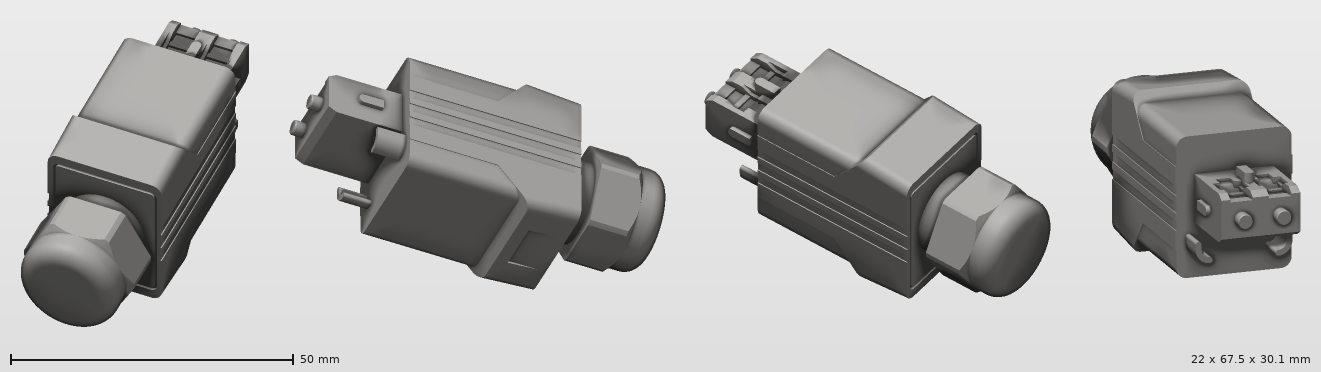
import cadquery as cq
import math


housing_length = 33.2
housing_width = 22.0
core_width = 21.75
core_height = 26.3
corner_radius = 2.0
flare_end_height = 28.35
flare_peak_height = 30.05
flare_peak_y = 9.8
side_panel_height = 15.4
side_panel_y = 16.15
grip_depth = 0.2
grip_width = 1.8
grip_pitch = 3.25

seam_width = 20.1
seam_height = 24.6
seam_gap = 0.505
seam_depth = 0.55
seam_radius = 1.3

label_width = 9.2
label_floor_z = -14.3
label_end_y = 7.4

neck_diameter = 15.4
neck_length = 4.0
nut_flats = 19.0
nut_rim_radius = 10.7
nut_length = 8.6
nut_chamfer_length = 1.15
dome_end_y = -17.95
dome_radius = 3.0

block_width = 14.85
block_length = 14.2
block_top = 6.0
block_bottom = -3.0
block_chamfer_y = 1.55
block_chamfer_z = 0.9
block_end_y = housing_length + block_length

key_width = 1.8
key_length = 4.7
key_start_y = 37.1
side_key_z = 1.5
side_key_height = 0.9
top_key_height = 1.9

contact_x = 3.65
pin_diameter = 2.8
pin_tip_diameter = 2.5
pin_z = 1.4
pin_length = 2.15
pin_tip_length = 0.3
channel_width = 4.25
throat_width = 2.8
high_floor_z = 4.65
low_floor_z = 4.1
throat_floor_z = 5.35
first_step_y = 45.25
bar_far_y = 42.95
bar_near_y = 41.95
ramp_foot_y = 40.7
ramp_top_y = 38.7
channel_end_y = 39.7
throat_end_y = 37.4
recess_width = 5.55
recess_start_y = 43.8
recess_floor_z = 5.05

arm_outer_x = 9.1
arm_thickness = 1.1
arm_top_z = -4.9
arm_bend_z = -6.4
arm_outer_radius = 2.6
arm_length = 5.35


def span_box(x0, x1, y0, y1, z0, z1):
    """Box between two opposite corners."""
    return cq.Workplane("XY").box(x1 - x0, y1 - y0, z1 - z0, centered=False).translate((x0, y0, z0))


def side_profile(points, width, x_center=0):
    """Prism of a (Y, Z) outline, centred on x_center."""
    prism = cq.Workplane("YZ").polyline(points).close().extrude(width / 2, both=True)
    return prism.translate((x_center, 0, 0))


def revolve_about_y(points):
    """Solid of revolution about the gland axis from an (X, Y) outline."""
    return cq.Workplane("XY").polyline(points).close().revolve(360, (0, 0), (0, 1))


def make_housing():
    core = span_box(-core_width / 2, core_width / 2, 0, housing_length, -core_height / 2, core_height / 2)
    core = core.edges("|Y").fillet(corner_radius)

    upper = [
        (0, flare_end_height / 2),
        (flare_peak_y, flare_peak_height / 2),
        (side_panel_y, side_panel_height / 2),
        (housing_length, side_panel_height / 2),
    ]
    lower = [(y, -z) for y, z in reversed(upper)]
    shell = side_profile(upper + lower, housing_width)

    slope_rise = (flare_peak_height - flare_end_height) / 2
    for sign in (1, -1):
        slope = cq.Vector(0, flare_peak_y, sign * slope_rise)
        shell = shell.edges(cq.selectors.ParallelDirSelector(slope)).fillet(corner_radius)
    housing = core.union(shell)

    groove_x = housing_width / 2 - grip_depth
    for row in (-1, 0, 1):
        z0 = row * grip_pitch - grip_width / 2
        for x0 in (groove_x, -groove_x - grip_depth):
            housing = housing.cut(span_box(x0, x0 + grip_depth, 0, housing_length, z0, z0 + grip_width))
    return housing.cut(make_seam()).cut(make_label())


def make_seam():
    def plug(inset):
        width = seam_width - 2 * inset
        height = seam_height - 2 * inset
        block = cq.Workplane("XZ").rect(width, height).extrude(-seam_depth)
        return block.edges("|Y").fillet(seam_radius - inset)

    return plug(0).cut(plug(seam_gap))


def make_label():
    """Wedge with a level floor that runs out into the sloping underside."""
    flat_z = -flare_peak_height / 2
    return side_profile([
        (0, label_floor_z),
        (label_end_y, label_floor_z),
        (label_end_y, flat_z),
        (0, flat_z),
    ], label_width)


def make_gland():
    nut_start_y = -neck_length
    nut_end_y = nut_start_y - nut_length
    nut_radius = nut_flats / 2

    neck = cq.Workplane("XZ").circle(neck_diameter / 2).extrude(neck_length)
    corner_diameter = nut_flats / math.cos(math.pi / 6)
    nut = cq.Workplane("XZ", origin=(0, nut_start_y, 0)).polygon(6, corner_diameter).extrude(nut_length)

    blank = revolve_about_y([
        (0, nut_start_y),
        (nut_rim_radius, nut_start_y),
        (nut_rim_radius, nut_end_y + nut_chamfer_length),
        (nut_radius, nut_end_y),
        (0, nut_end_y),
    ])
    nut = nut.intersect(blank)

    dome = cq.Workplane("XZ", origin=(0, nut_end_y, 0)).circle(nut_radius).extrude(nut_end_y - dome_end_y)
    dome = dome.faces("<Y").edges().fillet(dome_radius)
    return neck.union(nut).union(dome)


def make_key(height):
    """Key standing on the XY plane, with its square end at the origin and its round end to +Y."""
    radius = key_width / 2
    return (
        cq.Workplane("XY")
        .moveTo(-radius, 0)
        .lineTo(-radius, key_length - radius)
        .threePointArc((0, key_length), (radius, key_length - radius))
        .lineTo(radius, 0)
        .close()
        .extrude(height)
    )


def make_opening(x):
    """Stepped terminal opening cut down from the top of the block."""
    above = block_top + 0.7
    channel = side_profile([
        (block_end_y, above),
        (block_end_y, high_floor_z),
        (first_step_y, high_floor_z),
        (first_step_y, low_floor_z),
        (bar_far_y, low_floor_z),
        (bar_far_y, high_floor_z),
        (bar_near_y, high_floor_z),
        (bar_near_y, low_floor_z),
        (channel_end_y, low_floor_z),
        (channel_end_y, above),
    ], channel_width, x)

    ramp_slope = (throat_floor_z - low_floor_z) / (ramp_foot_y - ramp_top_y)
    ramp_end_z = low_floor_z + ramp_slope * (ramp_foot_y - channel_end_y)
    ramp = side_profile([
        (ramp_foot_y, low_floor_z),
        (channel_end_y, low_floor_z),
        (channel_end_y, ramp_end_z),
    ], channel_width, x)
    throat = side_profile([
        (channel_end_y, above),
        (channel_end_y, ramp_end_z),
        (ramp_top_y, throat_floor_z),
        (throat_end_y, throat_floor_z),
        (throat_end_y, above),
    ], throat_width, x)

    recess = side_profile([
        (recess_start_y, block_top),
        (bar_near_y, recess_floor_z),
        (channel_end_y, recess_floor_z),
        (channel_end_y, above),
        (recess_start_y, above),
    ], recess_width, x)
    return channel.cut(ramp).union(throat).union(recess)


def make_pin(x):
    tip_y = block_end_y + pin_length
    pin = revolve_about_y([
        (0, housing_length),
        (pin_diameter / 2, housing_length),
        (pin_diameter / 2, tip_y - pin_tip_length),
        (pin_tip_diameter / 2, tip_y),
        (0, tip_y),
    ])
    return pin.translate((x, 0, pin_z))


def make_block():
    chamfer_start_y = block_end_y - block_chamfer_y
    block = side_profile([
        (housing_length, block_bottom),
        (chamfer_start_y, block_bottom),
        (block_end_y, block_bottom + block_chamfer_z),
        (block_end_y, block_top - block_chamfer_z),
        (chamfer_start_y, block_top),
        (housing_length, block_top),
    ], block_width)
    for x in (-contact_x, contact_x):
        block = block.cut(make_opening(x)).union(make_pin(x))

    side_key = make_key(side_key_height)
    for side in (-1, 1):
        key = side_key.rotate((0, 0, 0), (0, 1, 0), side * 90)
        block = block.union(key.translate((side * block_width / 2, key_start_y, side_key_z)))
    return block.union(make_key(top_key_height).translate((0, key_start_y, block_top)))


def make_arm():
    """Guide arm on the -X side: an upright wall that bends inward, with round ends."""
    cap = arm_thickness / 2
    inner_x = -arm_outer_x + arm_thickness
    inner_radius = arm_outer_radius - arm_thickness
    bend_x = -arm_outer_x + arm_outer_radius
    bottom_z = arm_bend_z - arm_outer_radius
    diagonal = math.sqrt(0.5)
    return (
        cq.Workplane("XZ", origin=(0, housing_length, 0))
        .moveTo(-arm_outer_x, arm_bend_z)
        .lineTo(-arm_outer_x, arm_top_z - cap)
        .threePointArc((-arm_outer_x + cap, arm_top_z), (inner_x, arm_top_z - cap))
        .lineTo(inner_x, arm_bend_z)
        .threePointArc(
            (bend_x - inner_radius * diagonal, arm_bend_z - inner_radius * diagonal),
            (bend_x, arm_bend_z - inner_radius),
        )
        .threePointArc((bend_x + cap, bottom_z + cap), (bend_x, bottom_z))
        .threePointArc(
            (bend_x - arm_outer_radius * diagonal, arm_bend_z - arm_outer_radius * diagonal),
            (-arm_outer_x, arm_bend_z),
        )
        .close()
        .extrude(-arm_length)
    )


left_arm = make_arm()
right_arm = left_arm.mirror("YZ")
result = make_housing().union(make_gland()).union(make_block()).union(left_arm).union(right_arm)